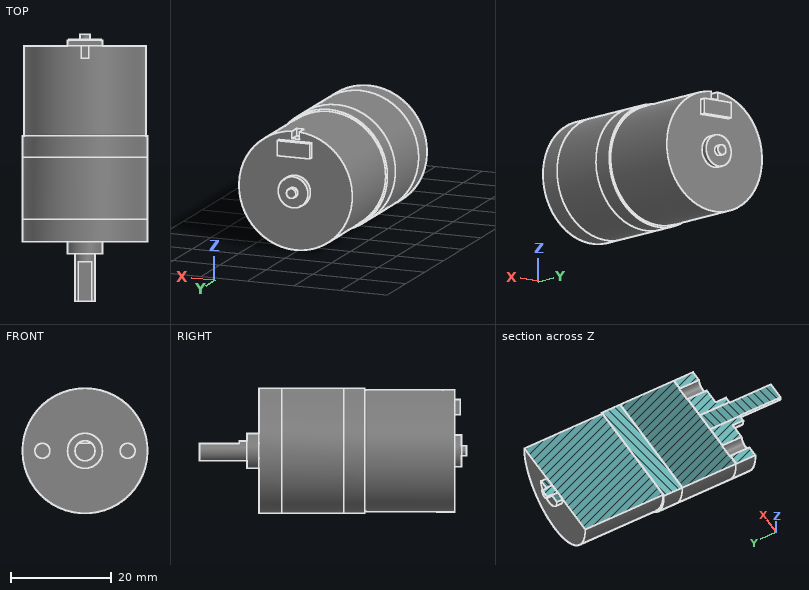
import cadquery as cq


gearbox_diameter = 25.0
front_plate_length = 4.55
gear_housing_length = 12.35
rear_plate_length = 4.2
pilot_diameter = 7.0
pilot_length = 2.4
mount_hole_diameter = 3.0
mount_hole_spacing = 17.0

shaft_diameter = 4.0
shaft_reach = 9.5
flat_length = 7.95
flat_height = 1.5

can_diameter = 24.4
can_length = 17.95
can_chamfer_length = 0.4
can_chamfer_depth = 0.1
notch_width = 1.55
notch_length = 2.45
notch_depth = 1.55
bearing_diameter = 6.4
bearing_length = 1.35
rear_shaft_diameter = 2.0

terminal_width = 7.0
terminal_thickness = 1.05
terminal_height = 3.1
terminal_center_z = 8.7

overall_length = 53.3
gear_housing_front = front_plate_length
rear_plate_front = gear_housing_front + gear_housing_length
can_front = rear_plate_front + rear_plate_length
can_rear = can_front + can_length
bearing_rear = can_rear + bearing_length
shaft_tip = -pilot_length - shaft_reach
rear_shaft_tip = shaft_tip + overall_length


def cylinder(diameter, y_start, y_end, x=0):
    """Cylinder parallel to Y between two stations."""
    axis_start = cq.Vector(x, y_start, 0)
    solid = cq.Solid.makeCylinder(diameter / 2, y_end - y_start, axis_start, cq.Vector(0, 1, 0))
    return cq.Workplane(obj=solid)


def block(width, length, height, y_start, z_bottom):
    """Box centred on X, starting at the given Y and Z."""
    return (
        cq.Workplane()
        .box(width, length, height, centered=(True, False, False))
        .translate((0, y_start, z_bottom))
    )


def make_front_plate():
    """Mounting plate with its pilot boss, shaft bore and two mounting holes."""
    plate = cylinder(gearbox_diameter, 0, front_plate_length)
    plate = plate.union(cylinder(pilot_diameter, -pilot_length, 0))
    plate = plate.cut(cylinder(shaft_diameter, -pilot_length, front_plate_length))
    for side in (-1, 1):
        hole_x = side * mount_hole_spacing / 2
        plate = plate.cut(cylinder(mount_hole_diameter, 0, front_plate_length, hole_x))
    return plate


def make_output_shaft():
    """Shaft with a D flat on its +Z side, ending at the back of the front plate."""
    shaft = cylinder(shaft_diameter, shaft_tip, front_plate_length)
    flat_cut = block(shaft_diameter, flat_length, shaft_diameter, shaft_tip, flat_height)
    return shaft.cut(flat_cut)


def make_motor_can():
    """Motor can with a chamfered front edge and a notch in its rear rim."""
    can = cylinder(can_diameter, can_front, can_rear)
    can = can.faces("<Y").chamfer(can_chamfer_length, can_chamfer_depth)
    notch_floor = can_diameter / 2 - notch_depth
    notch = block(notch_width, notch_length, can_diameter, can_rear - notch_length, notch_floor)
    return can.cut(notch)


def make_rear_bearing():
    """Bearing collar on the rear face of the can, bored for the rear shaft."""
    collar = cylinder(bearing_diameter, can_rear, bearing_rear)
    return collar.cut(cylinder(rear_shaft_diameter, can_rear, bearing_rear))


def make_terminal_block():
    """Flat block standing on the rear face of the can."""
    z_bottom = terminal_center_z - terminal_height / 2
    return block(terminal_width, terminal_thickness, terminal_height, can_rear, z_bottom)


front_plate = make_front_plate()
output_shaft = make_output_shaft()
gear_housing = cylinder(gearbox_diameter, gear_housing_front, rear_plate_front)
rear_plate = cylinder(gearbox_diameter, rear_plate_front, can_front)
motor_can = make_motor_can()
rear_bearing = make_rear_bearing()
rear_shaft = cylinder(rear_shaft_diameter, can_rear, rear_shaft_tip)
terminal_block = make_terminal_block()

result = cq.Compound.makeCompound([
    front_plate.val(),
    output_shaft.val(),
    gear_housing.val(),
    rear_plate.val(),
    motor_can.val(),
    rear_bearing.val(),
    rear_shaft.val(),
    terminal_block.val(),
])